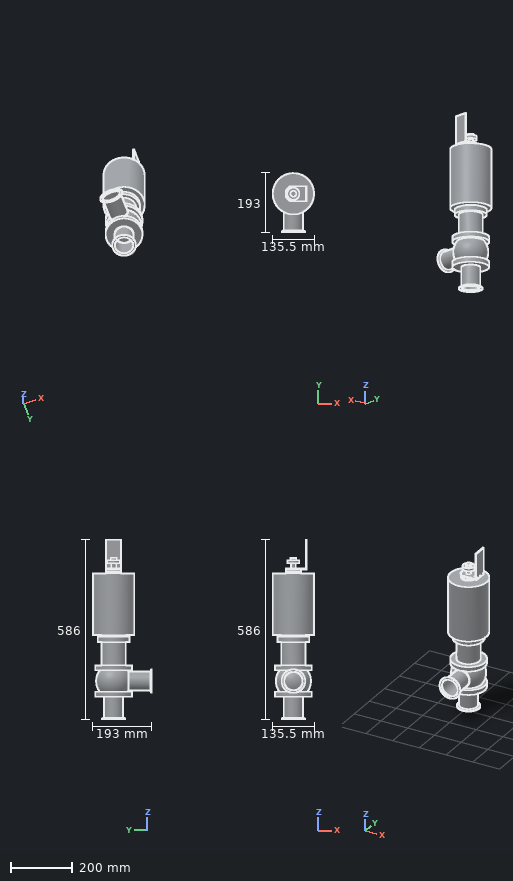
import cadquery as cq

pipe_diameter = 63.5
bore_diameter = 59.0
ferrule_diameter = 77.5
ferrule_height = 6.0
ferrule_rim_height = 2.5

sphere_diameter = 115.5
sphere_center_z = 125.0

flange_diameter = 121.0
lower_flange_bottom = 73.0
lower_flange_top = 91.0
upper_flange_bottom = 160.0
upper_flange_top = 176.5

neck_diameter = 80.0
clamp_diameter = 105.0
clamp_bottom = 252.0
clamp_top = 269.5

actuator_diameter = 135.5
actuator_bottom = 275.0
actuator_top = 476.5

collar_diameter = 50.0
collar_top = 482.0

stem_diameter = 16.0
nut_diameter = 40.0
nut_bottom = 509.0
nut_top = 520.0
stem_tip_diameter = 19.5
stem_tip_top = 527.0

overall_depth = 193.0
side_pipe_length = overall_depth - actuator_diameter / 2

bracket_top = 586.0
bracket_thickness = 3.5
bracket_width = collar_diameter
bracket_left = -bracket_width / 2
bracket_right = 43.5
bracket_corner = 14.0
bracket_bottom = 489.0


def cylinder(diameter, bottom, top):
    """Vertical cylinder on the Z axis between two heights."""
    return cq.Workplane("XY").workplane(offset=bottom).circle(diameter / 2).extrude(top - bottom)


def add_sections(body, sections):
    """Join a stack of (diameter, bottom, top) cylinders to a body."""
    for diameter, bottom, top in sections:
        body = body.union(cylinder(diameter, bottom, top))
    return body


def ferruled_pipe(length):
    """Solid pipe rising from Z = 0, with a tapered ferrule at its open end."""
    pipe_radius = pipe_diameter / 2
    ferrule_radius = ferrule_diameter / 2
    return (
        cq.Workplane("XZ")
        .moveTo(0, 0)
        .lineTo(ferrule_radius, 0)
        .lineTo(ferrule_radius, ferrule_rim_height)
        .lineTo(pipe_radius, ferrule_height)
        .lineTo(pipe_radius, length)
        .lineTo(0, length)
        .close()
        .revolve(360, (0, 0, 0), (0, 1, 0))
    )


def make_side_pipe():
    """Bored pipe pointing to -Y, running from the sphere center to its ferrule."""
    pipe = ferruled_pipe(side_pipe_length).cut(cylinder(bore_diameter, 0, side_pipe_length))
    return pipe.rotate((0, 0, 0), (1, 0, 0), -90).translate((0, -side_pipe_length, sphere_center_z))


def make_valve():
    """Pipes, sphere, flanges, actuator and its top collar as one solid."""
    bottom_pipe = ferruled_pipe(lower_flange_bottom).cut(cylinder(bore_diameter, 0, lower_flange_bottom))
    sphere_clearance = 6.0
    sphere = (
        cq.Workplane("XY")
        .sphere(sphere_diameter / 2)
        .translate((0, 0, sphere_center_z))
        .intersect(cylinder(sphere_diameter + sphere_clearance, lower_flange_top, upper_flange_bottom))
    )
    sections = [
        (flange_diameter, lower_flange_bottom, lower_flange_top),
        (flange_diameter, upper_flange_bottom, upper_flange_top),
        (neck_diameter, upper_flange_top, actuator_bottom),
        (clamp_diameter, clamp_bottom, clamp_top),
        (actuator_diameter, actuator_bottom, actuator_top),
        (collar_diameter, actuator_top, collar_top),
    ]
    return add_sections(bottom_pipe, sections).union(sphere).union(make_side_pipe())


def make_bracket():
    """Bent sheet: foot with two cut corners, plus the upright blade."""
    foot = (
        cq.Workplane("XY")
        .workplane(offset=bracket_bottom)
        .center((bracket_left + bracket_right) / 2, 0)
        .rect(bracket_right - bracket_left, bracket_width)
        .extrude(bracket_thickness)
        .edges("|Z and <X")
        .chamfer(bracket_corner)
    )
    blade = (
        cq.Workplane("XY")
        .workplane(offset=bracket_bottom)
        .center(bracket_right - bracket_thickness / 2, 0)
        .rect(bracket_thickness, bracket_width)
        .extrude(bracket_top - bracket_bottom)
    )
    return foot.union(blade)


def make_indicator():
    """Collar, bracket, stem and nut as one solid resting on the valve collar."""
    sections = [
        (collar_diameter, collar_top, bracket_bottom),
        (stem_diameter, bracket_bottom, nut_bottom),
        (nut_diameter, nut_bottom, nut_top),
        (stem_tip_diameter, nut_top, stem_tip_top),
    ]
    return add_sections(make_bracket(), sections)


valve = make_valve()
indicator = make_indicator()
result = cq.Compound.makeCompound([valve.val(), indicator.val()])